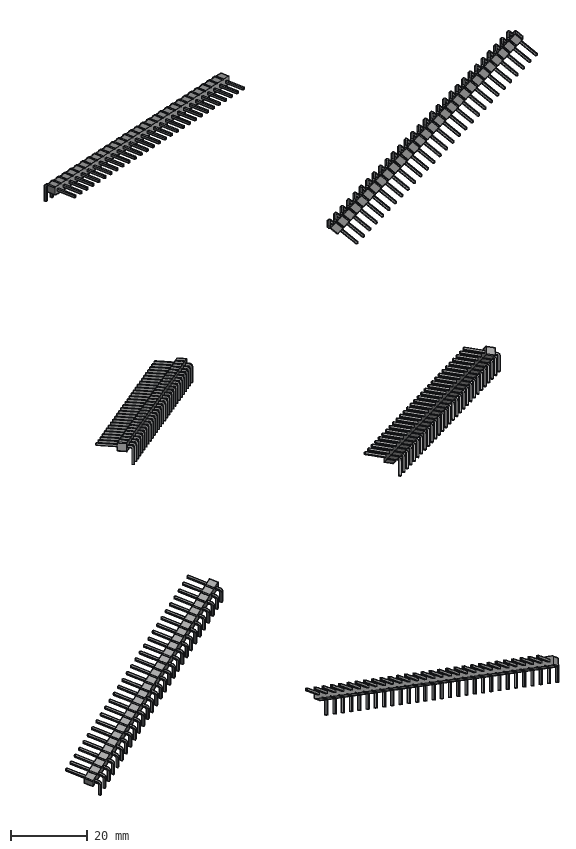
import cadquery as cq

pin_count = 29
pitch = 2.54
overall_width = 10.36
overall_height = 6.18

block_width = pitch
block_height = pitch
block_chamfer = 0.25

pin_size = 0.64
pin_tip_x = 7.27
bend_inner_radius = 0.3
tip_chamfer = pin_size / 4

row_length = pin_count * pitch
half_pin = pin_size / 2
bend_outer_radius = bend_inner_radius + pin_size
tail_outer_x = pin_tip_x - overall_width
tail_inner_x = tail_outer_x + pin_size
tail_bottom_z = block_height / 2 - overall_height
bend_end_x = tail_outer_x + bend_outer_radius
bend_end_z = half_pin - bend_outer_radius


def make_block():
    """One housing block, its four edges along X chamfered."""
    block = cq.Workplane("XY").box(block_width, pitch, block_height)
    return block.edges("|X").chamfer(block_chamfer)


def make_pin():
    """One bent pin: tail, round bend and straight leg with a chamfered tip."""
    pin = (
        cq.Workplane("XZ")
        .moveTo(tail_outer_x, tail_bottom_z)
        .lineTo(tail_outer_x, bend_end_z)
        .radiusArc((bend_end_x, half_pin), bend_outer_radius)
        .lineTo(pin_tip_x, half_pin)
        .lineTo(pin_tip_x, -half_pin)
        .lineTo(bend_end_x, -half_pin)
        .radiusArc((tail_inner_x, bend_end_z), -bend_inner_radius)
        .lineTo(tail_inner_x, tail_bottom_z)
        .close()
        .extrude(half_pin, both=True)
    )
    return pin.faces(">X").chamfer(tip_chamfer)


def make_header():
    """Row of identical one-pin units, centred on the origin along Y."""
    unit = make_block().union(make_pin()).val()
    first_y = (pitch - row_length) / 2
    units = [unit.translate(cq.Vector(0, first_y + i * pitch, 0)) for i in range(pin_count)]
    return cq.Workplane(units[0].fuse(*units[1:]).clean())


result = make_header().solids()